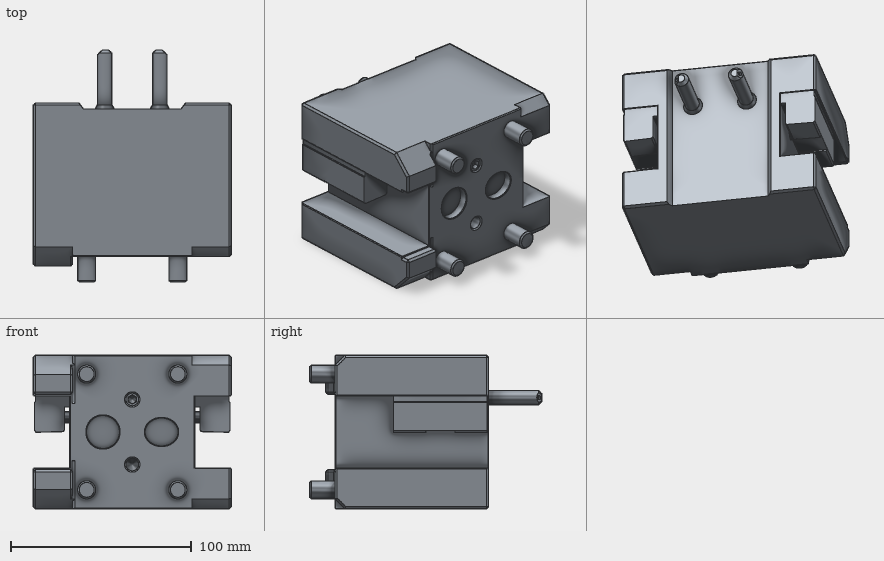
import cadquery as cq
import math


WIDTH = 109.55
HEIGHT = 85.0
DEPTH = 85.0
WAIST_WIDTH = 69.5
CORE_WIDTH = 65.8
FLANGE_INNER_Z = 20.0
OUTER_CHAMFER = 1.2
WAIST_CHAMFER = 0.5
CORE_TOP_CHAMFER = 0.6
CORE_CORNER_CHAMFER = 1.2
BEVEL = 5.5

NOSE_LENGTH = 5.2
NOSE_INNER_Z = 20.8
GROOVE_RADIUS = 0.85
GROOVE_INNER_Z = 16.6

RECESS_FLOOR_WIDTH = 54.0
RECESS_DEPTH = 3.2
RECESS_SIDE_RUN = 2.4

BLOCK_OUTER_X = 54.05
BLOCK_INNER_X = 37.4
BLOCK_FRONT_Y = 32.3
BLOCK_REAR_Y = 84.1
BLOCK_BOTTOM_Z = -0.2
BLOCK_BOTTOM_RISE = 0.35
BLOCK_CHAMFER = 0.9
LEDGE_DEPTH = 0.45
LEDGE_Z = 16.4
NECK_BOTTOM_Z = 13.8
NOTCH_Y = 58.3
NOTCH_WIDTH = 16.0
CLAMP_SCREW_DIAMETER = 6.2
CLAMP_SCREW_Z = 8.1

FRONT_PIN_DIAMETER = 10.0
FRONT_PIN_LENGTH = 14.0
FRONT_PIN_X = 25.2
FRONT_PIN_Z = 32.0
FRONT_PIN_CHAMFER = 0.9

OVERALL_DEPTH = 128.34
REAR_PIN_DIAMETER = 8.0
REAR_PIN_X = 15.25
REAR_PIN_Z = 19.0
REAR_PIN_TIP_CHAMFER = 1.8
REAR_PIN_FLAT_DEPTH = 2.8
REAR_PIN_PORT_DIAMETER = 2.2
REAR_PIN_PORT_DEPTH = 1.5
COLLAR_DIAMETER = 10.6
COLLAR_LENGTH = 2.2

POCKET_DIAMETER = 19.0
POCKET_X = 16.2
OVAL_HEIGHT = 16.2
POCKET_DEPTH = 5.0
POCKET_CHAMFER = 0.4
BORE_DIAMETER = 7.0
BORE_Z = 18.0
BORE_DEPTH = 10.0
BORE_CHAMFER = 0.75
DRILL_POINT_ANGLE = 118.0
SOCKET_ACROSS_FLATS = 4.5
SOCKET_DEPTH = 3.0

HALF_WIDTH = WIDTH / 2
HALF_HEIGHT = HEIGHT / 2
HALF_CORE = CORE_WIDTH / 2
HALF_WAIST = WAIST_WIDTH / 2
RECESS_FLOOR_Y = DEPTH - RECESS_DEPTH


def box(x_range, y_range, z_range):
    """Box between the given limits on each axis."""
    spans = [high - low for low, high in (x_range, y_range, z_range)]
    start = (x_range[0], y_range[0], z_range[0])
    return cq.Workplane("XY").box(*spans, centered=False).translate(start)


def prism_along_x(profile, x_start, x_end):
    """Closed (Y, Z) profile extruded along X."""
    return cq.Workplane("YZ", origin=(x_start, 0, 0)).polyline(profile).close().extrude(x_end - x_start)


def turned_along_y(profile, x, z):
    """Closed (radius, Y) profile revolved about an axis parallel to Y."""
    return cq.Workplane("XY").polyline(profile).close().revolve(360, (0, 0), (0, 1)).translate((x, 0, z))


def flange():
    """Upper flange over the full width, with bevelled front and chamfered ends."""
    bevel_z = HALF_HEIGHT - BEVEL
    profile = [
        (0, FLANGE_INNER_Z),
        (0, bevel_z),
        (BEVEL, HALF_HEIGHT),
        (DEPTH, HALF_HEIGHT),
        (DEPTH, FLANGE_INNER_Z),
    ]
    slab = prism_along_x(profile, -HALF_WIDTH, HALF_WIDTH)
    left_edges = slab.faces("<X").edges("not (<Y or <Z)")
    right_edges = slab.faces(">X").edges("not <Z")
    rear_edge = slab.faces(">Y").edges(">Z")
    slab = left_edges.add(right_edges).add(rear_edge).chamfer(OUTER_CHAMFER)
    return slab.faces("<X or >X").edges("<Z").chamfer(WAIST_CHAMFER)


def core():
    """Upper centre of the body, square at the front except for its edge chamfers."""
    block = box((-HALF_CORE, HALF_CORE), (0, DEPTH - OUTER_CHAMFER), (FLANGE_INNER_Z, HALF_HEIGHT))
    block = block.edges("<X and <Y").chamfer(CORE_CORNER_CHAMFER)
    return block.faces("<Y").edges(">Z").chamfer(CORE_TOP_CHAMFER)


def nose():
    """Locating nose ahead of the left end of the upper flange."""
    bevel_z = HALF_HEIGHT - BEVEL
    profile = [
        (0, NOSE_INNER_Z),
        (0, bevel_z),
        (-NOSE_LENGTH, bevel_z - NOSE_LENGTH),
        (-NOSE_LENGTH, NOSE_INNER_Z),
    ]
    block = prism_along_x(profile, -HALF_WIDTH, -HALF_CORE)
    side_edges = block.faces("<X or >X").edges("not >Y")
    return block.faces("<Y").edges("<Z").add(side_edges).chamfer(OUTER_CHAMFER)


def nose_groove():
    """Round-ended relief groove where the nose meets the front face."""
    length = HALF_HEIGHT - BEVEL - GROOVE_INNER_Z
    end = (-HALF_CORE + GROOVE_RADIUS / 2, 0, GROOVE_INNER_Z)
    groove = cq.Workplane("XY").circle(GROOVE_RADIUS).extrude(length)
    return groove.union(cq.Workplane("XY").sphere(GROOVE_RADIUS)).translate(end)


def body():
    """Waist with mirrored flanged halves, relief grooves and rear recess."""
    waist = box((-HALF_WAIST, HALF_WAIST), (0, DEPTH), (-FLANGE_INNER_Z, FLANGE_INNER_Z))
    waist = waist.edges("|Z").chamfer(WAIST_CHAMFER)
    upper = flange().union(core()).union(nose())
    solid = waist.union(upper).union(upper.mirror("XY"))
    groove = nose_groove()
    return solid.cut(groove).cut(groove.mirror("XY")).cut(rear_recess())


def rear_recess():
    """Full-height trapezoidal recess in the rear face."""
    half_floor = RECESS_FLOOR_WIDTH / 2
    half_mouth = half_floor + RECESS_SIDE_RUN
    outline = [
        (-half_floor, RECESS_FLOOR_Y),
        (half_floor, RECESS_FLOOR_Y),
        (half_mouth, DEPTH),
        (-half_mouth, DEPTH),
    ]
    recess = cq.Workplane("XY").polyline(outline).close().extrude(HEIGHT)
    return recess.translate((0, 0, -HALF_HEIGHT))


def clamp_block():
    """Right clamp block with its neck against the waist and its clamping screw."""
    inner_bottom_z = BLOCK_BOTTOM_Z + BLOCK_BOTTOM_RISE
    outline = [
        (HALF_WAIST, FLANGE_INNER_Z),
        (BLOCK_OUTER_X - LEDGE_DEPTH, FLANGE_INNER_Z),
        (BLOCK_OUTER_X - LEDGE_DEPTH, LEDGE_Z + LEDGE_DEPTH),
        (BLOCK_OUTER_X, LEDGE_Z),
        (BLOCK_OUTER_X, BLOCK_BOTTOM_Z + BLOCK_CHAMFER),
        (BLOCK_OUTER_X - BLOCK_CHAMFER, BLOCK_BOTTOM_Z),
        (BLOCK_INNER_X + BLOCK_CHAMFER, inner_bottom_z),
        (BLOCK_INNER_X, inner_bottom_z + BLOCK_CHAMFER),
        (BLOCK_INNER_X, NECK_BOTTOM_Z),
        (HALF_WAIST, NECK_BOTTOM_Z),
    ]
    block = cq.Workplane("XZ").polyline(outline).close().extrude(BLOCK_FRONT_Y - BLOCK_REAR_Y)
    block = block.translate((0, BLOCK_FRONT_Y, 0))
    notch = box(
        (BLOCK_INNER_X, BLOCK_OUTER_X),
        (NOTCH_Y - NOTCH_WIDTH / 2, NOTCH_Y + NOTCH_WIDTH / 2),
        (BLOCK_BOTTOM_Z, BLOCK_BOTTOM_Z + BLOCK_CHAMFER),
    )
    screw = cq.Workplane("YZ").circle(CLAMP_SCREW_DIAMETER / 2).extrude(BLOCK_INNER_X - HALF_WAIST)
    screw = screw.translate((HALF_WAIST, NOTCH_Y, CLAMP_SCREW_Z))
    return block.cut(notch).union(screw)


def front_pin(x, z):
    """Front locating pin with a chamfered end."""
    radius = FRONT_PIN_DIAMETER / 2
    profile = [
        (0, 0),
        (radius, 0),
        (radius, -FRONT_PIN_LENGTH + FRONT_PIN_CHAMFER),
        (radius - FRONT_PIN_CHAMFER, -FRONT_PIN_LENGTH),
        (0, -FRONT_PIN_LENGTH),
    ]
    return turned_along_y(profile, x, z)


def rear_pin():
    """Right rear pin: conical collar, conical tip and an angled outer flat with a port."""
    radius = REAR_PIN_DIAMETER / 2
    collar_radius = COLLAR_DIAMETER / 2
    tip_y = OVERALL_DEPTH - FRONT_PIN_LENGTH
    collar_y = RECESS_FLOOR_Y + COLLAR_LENGTH
    profile = [
        (0, RECESS_FLOOR_Y),
        (collar_radius, RECESS_FLOOR_Y),
        (radius, collar_y),
        (radius, tip_y - REAR_PIN_TIP_CHAMFER),
        (radius - REAR_PIN_TIP_CHAMFER, tip_y),
        (0, tip_y),
    ]
    pin = turned_along_y(profile, 0, 0)
    wedge = [
        (radius, tip_y),
        (radius, tip_y - REAR_PIN_FLAT_DEPTH),
        (radius - REAR_PIN_FLAT_DEPTH, tip_y),
    ]
    pin = pin.cut(cq.Workplane("XY").polyline(wedge).close().extrude(radius, both=True))
    flat_middle = (radius - REAR_PIN_FLAT_DEPTH / 2, tip_y - REAR_PIN_FLAT_DEPTH / 2, 0)
    flat_plane = cq.Plane(origin=flat_middle, xDir=(0, 0, 1), normal=(1, 1, 0))
    port = cq.Workplane(flat_plane).circle(REAR_PIN_PORT_DIAMETER / 2).extrude(-REAR_PIN_PORT_DEPTH)
    return pin.cut(port).translate((REAR_PIN_X, 0, REAR_PIN_Z))


def front_pocket(x, height):
    """Blind elliptical pocket with a chamfered rim; round when as tall as it is wide."""
    rim_radii = (POCKET_DIAMETER / 2, height / 2)
    well_radii = [radius - POCKET_CHAMFER for radius in rim_radii]
    front = cq.Workplane("XZ", origin=(x, 0, 0))
    rim = front.ellipse(*rim_radii).workplane(offset=-POCKET_CHAMFER).ellipse(*well_radii).loft()
    well = cq.Workplane("XZ", origin=(x, 0, 0)).ellipse(*well_radii).extrude(-POCKET_DEPTH)
    return well.union(rim)


def drilled_bore():
    """Lower bore with a chamfered mouth and a conical drill point."""
    radius = BORE_DIAMETER / 2
    point_length = radius / math.tan(math.radians(DRILL_POINT_ANGLE / 2))
    profile = [
        (0, 0),
        (radius + BORE_CHAMFER, 0),
        (radius, BORE_CHAMFER),
        (radius, BORE_DEPTH),
        (0, BORE_DEPTH + point_length),
    ]
    return turned_along_y(profile, 0, -BORE_Z)


def plugged_bore():
    """Upper bore closed by a set screw level with the foot of its chamfer, with a hexagon socket."""
    radius = BORE_DIAMETER / 2
    flat_radius = SOCKET_ACROSS_FLATS / 2
    hexagon_diameter = SOCKET_ACROSS_FLATS / math.cos(math.pi / 6)
    socket_floor_y = BORE_CHAMFER + SOCKET_DEPTH
    point_length = flat_radius / math.tan(math.radians(DRILL_POINT_ANGLE / 2))
    profile = [
        (0, 0),
        (radius + BORE_CHAMFER, 0),
        (radius, BORE_CHAMFER),
        (flat_radius, BORE_CHAMFER),
        (flat_radius, socket_floor_y),
        (0, socket_floor_y + point_length),
    ]
    hexagon = cq.Workplane("XZ").polygon(6, hexagon_diameter).extrude(-socket_floor_y)
    hexagon = hexagon.rotate((0, 0, 0), (0, 1, 0), 90).translate((0, 0, BORE_Z))
    return turned_along_y(profile, 0, BORE_Z).union(hexagon)


result = body()

block = clamp_block()
result = result.union(block).union(block.mirror("YZ"))

for x in (-FRONT_PIN_X, FRONT_PIN_X):
    for z in (-FRONT_PIN_Z, FRONT_PIN_Z):
        result = result.union(front_pin(x, z))

pin = rear_pin()
result = result.union(pin).union(pin.mirror("YZ"))

result = result.cut(front_pocket(-POCKET_X, POCKET_DIAMETER))
result = result.cut(front_pocket(POCKET_X, OVAL_HEIGHT))
result = result.cut(drilled_bore()).cut(plugged_bore())